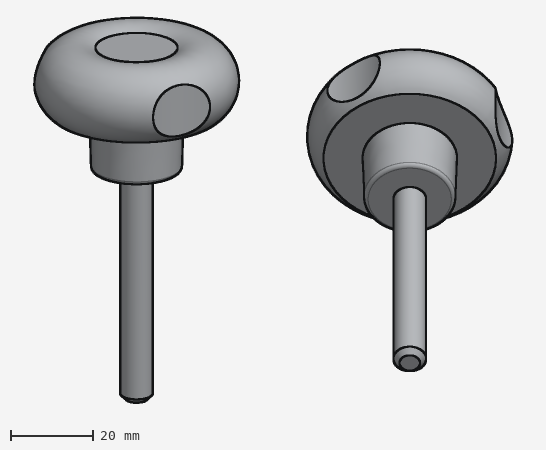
import cadquery as cq
import math

head_radius = 25.0
ring_section_radius = 10.0
head_height = 18.0
top_flat_radius = 10.0

scallop_radius = 25.0
scallop_depth = 2.5
scallop_angles = (90.0, 210.0, 340.0)

hub_height = 15.0
hub_top_radius = 11.5
hub_bottom_radius = 11.1
hub_edge_fillet = 1.0

stud_diameter = 8.0
stud_length = 60.0
stud_chamfer = 1.5

head_bottom = hub_height
head_top = head_bottom + head_height
ring_centre_radius = head_radius - ring_section_radius
ring_centre_height = head_top - ring_section_radius


def ring_offset(distance):
    """Offset across the ring section at a given distance from its centre."""
    return math.sqrt(ring_section_radius**2 - distance**2)


def make_head():
    underside_drop = ring_centre_height - head_bottom
    underside_radius = ring_centre_radius + ring_offset(underside_drop)
    top_flat_height = ring_centre_height + ring_offset(ring_centre_radius - top_flat_radius)
    return (
        cq.Workplane("XZ")
        .moveTo(0, head_bottom)
        .lineTo(underside_radius, head_bottom)
        .threePointArc((ring_centre_radius, head_top), (top_flat_radius, top_flat_height))
        .lineTo(0, top_flat_height)
        .close()
        .revolve(360, (0, 0, 0), (0, 1, 0))
    )


def make_scallop_cutter(angle):
    cutter_distance = head_radius - scallop_depth + scallop_radius
    return (
        cq.Workplane("XY", origin=(0, 0, head_bottom))
        .center(cutter_distance, 0)
        .circle(scallop_radius)
        .extrude(head_height)
        .rotate((0, 0, 0), (0, 0, 1), angle)
    )


def make_hub():
    hub = (
        cq.Workplane("XZ")
        .lineTo(hub_bottom_radius, 0)
        .lineTo(hub_top_radius, hub_height)
        .lineTo(0, hub_height)
        .close()
        .revolve(360, (0, 0, 0), (0, 1, 0))
    )
    return hub.faces("<Z").edges().fillet(hub_edge_fillet)


def make_stud():
    return (
        cq.Workplane("XY")
        .circle(stud_diameter / 2)
        .extrude(-stud_length)
        .faces("<Z")
        .chamfer(stud_chamfer)
    )


head = make_head()
for scallop_angle in scallop_angles:
    head = head.cut(make_scallop_cutter(scallop_angle))
result = head.union(make_hub()).union(make_stud())